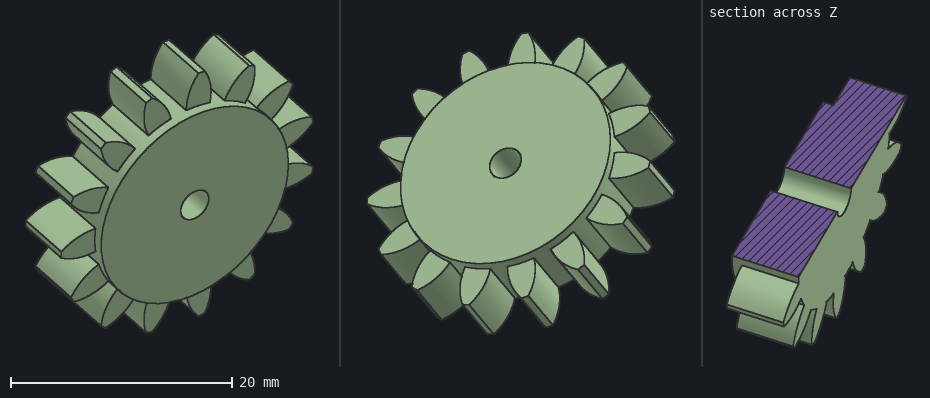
import cadquery as cq
import math

TOOTH_COUNT = 15
TIP_RADIUS = 14.06
ROOT_RADIUS = 10.35
BORE_DIAMETER = 3.1
TOOTH_WIDTH = 5.6
SHOULDER_WIDTH = 1.0
FIRST_TOOTH_ANGLE = 180.0

ROOT_HALF_THICKNESS = 1.315
MID_HALF_THICKNESS = 1.2
TIP_HALF_THICKNESS = 0.36
ROOT_OVERLAP = 0.5

TOTAL_WIDTH = TOOTH_WIDTH + SHOULDER_WIDTH
TOOTH_PITCH_ANGLE = 360.0 / TOOTH_COUNT


def distance_along_tooth(radius, half_thickness):
    """Centreline distance of a point at the given radius and offset."""
    return math.sqrt(radius**2 - half_thickness**2)


def make_body():
    """Root cylinder, running on past the teeth to form the shoulder."""
    return cq.Workplane("YZ").circle(ROOT_RADIUS).extrude(TOTAL_WIDTH)


def make_tooth():
    """One tooth along +Y with convex arc flanks and a tip on the outer circle."""
    root_y = distance_along_tooth(ROOT_RADIUS, ROOT_HALF_THICKNESS)
    tip_y = distance_along_tooth(TIP_RADIUS, TIP_HALF_THICKNESS)
    mid_y = (root_y + tip_y) / 2
    sunk_y = root_y - ROOT_OVERLAP
    return (
        cq.Workplane("YZ")
        .moveTo(sunk_y, -ROOT_HALF_THICKNESS)
        .lineTo(root_y, -ROOT_HALF_THICKNESS)
        .threePointArc((mid_y, -MID_HALF_THICKNESS), (tip_y, -TIP_HALF_THICKNESS))
        .threePointArc((TIP_RADIUS, 0), (tip_y, TIP_HALF_THICKNESS))
        .threePointArc((mid_y, MID_HALF_THICKNESS), (root_y, ROOT_HALF_THICKNESS))
        .lineTo(sunk_y, ROOT_HALF_THICKNESS)
        .close()
        .extrude(TOOTH_WIDTH)
    )


def make_bore():
    """Shaft hole through the full width."""
    return cq.Workplane("YZ").circle(BORE_DIAMETER / 2).extrude(TOTAL_WIDTH)


gear = make_body()
tooth = make_tooth()
for index in range(TOOTH_COUNT):
    angle = FIRST_TOOTH_ANGLE + index * TOOTH_PITCH_ANGLE
    gear = gear.union(tooth.rotate((0, 0, 0), (1, 0, 0), angle))

result = gear.cut(make_bore())